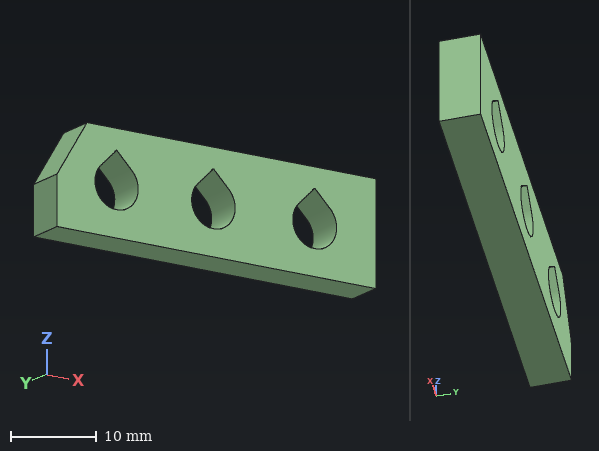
import cadquery as cq
import math

length = 44.5
thickness = 5.0
height = 13.4

corner_run = 4.2
end_face_height = 6.4

hole_height = 6.46
first_hole_x = 8.32
first_pitch = 13.5
second_pitch = 14.13
second_hole_x = first_hole_x + first_pitch
third_hole_x = second_hole_x + second_pitch
first_diameter = 6.0
second_diameter = 6.04
third_diameter = 6.09
holes = (
    (first_hole_x, first_diameter),
    (second_hole_x, second_diameter),
    (third_hole_x, third_diameter),
)


def extrude_through(profile):
    """Extrude an XZ profile from the front face (Y = 0) to the back face."""
    return profile.extrude(-thickness)


def make_plate():
    """Rectangular plate with one upper corner cut at a slope."""
    outline = (
        cq.Workplane("XZ")
        .moveTo(0, 0)
        .lineTo(length, 0)
        .lineTo(length, height)
        .lineTo(corner_run, height)
        .lineTo(0, end_face_height)
        .close()
    )
    return extrude_through(outline)


def make_teardrop(center_x, diameter):
    """Round hole whose top runs out along two 45 degree tangents to a point."""
    radius = diameter / 2
    tangent_offset = radius * math.sqrt(0.5)
    tip_rise = radius * math.sqrt(2)
    profile = (
        cq.Workplane("XZ", origin=(center_x, 0, hole_height))
        .moveTo(-tangent_offset, tangent_offset)
        .threePointArc((0, -radius), (tangent_offset, tangent_offset))
        .lineTo(0, tip_rise)
        .close()
    )
    return extrude_through(profile)


plate = make_plate()
for hole_x, hole_diameter in holes:
    plate = plate.cut(make_teardrop(hole_x, hole_diameter))

result = plate.solids()